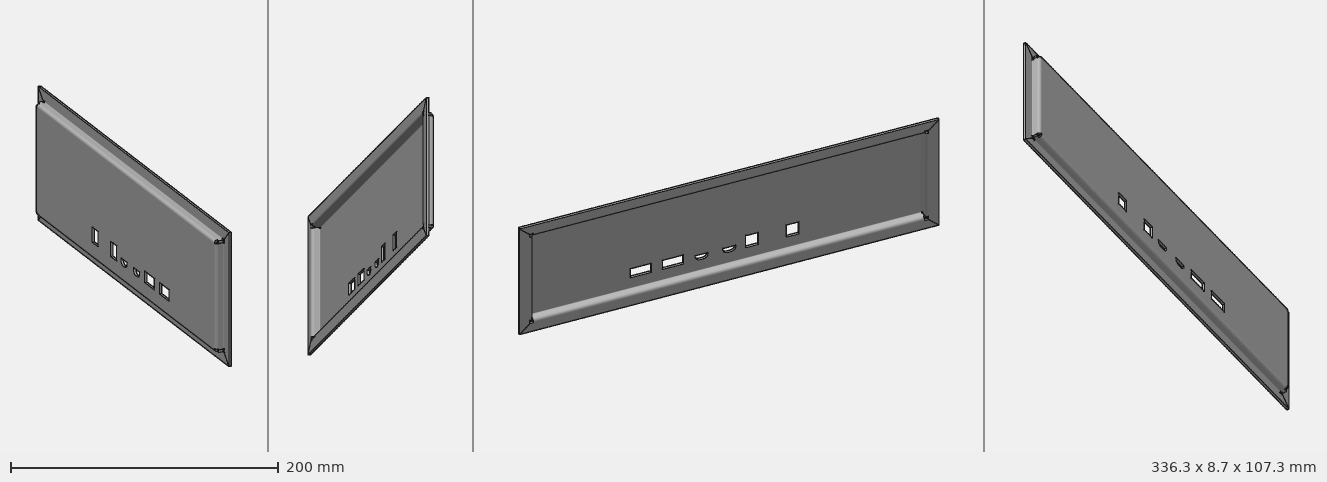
import cadquery as cq

width = 336.3
height = 107.3
depth = 8.7
sheet = 2.0
inner_radius = 0.5
flange_width = 8.5
corner_gap = 0.17

wall_inset = flange_width + inner_radius
outer_radius = inner_radius + sheet
panel_width = width - 2 * (wall_inset + outer_radius)
panel_height = height - 2 * (wall_inset + outer_radius)
wall_back = depth - outer_radius

port_floor = -32.0
square_ports = [(-53.5, 10.0, 12.0), (-21.0, 10.0, 12.0)]
wide_ports = [(42.5, 16.8, 9.0), (68.3, 16.8, 9.0)]
small_port_centres = [-2.7, 19.5]
small_port_width = 10.5
small_port_height = 5.0
small_port_radius = 4.0


def block(length, y_front, y_back, z_low, z_high):
    """Box centred on x = 0 between the given y and z limits."""
    size = (length, y_back - y_front, z_high - z_low)
    return cq.Workplane("XY").box(*size, centered=(True, False, False)).translate((0, y_front, z_low))


def bend(length, y_axis, z_axis, y_side, z_side):
    """Quarter tube along x, in the quadrant of its axis given by the two side signs."""
    tube = (
        cq.Workplane("YZ", origin=(-length / 2, y_axis, z_axis))
        .circle(outer_radius)
        .circle(inner_radius)
        .extrude(length)
    )
    y_limits = sorted((y_axis, y_axis + y_side * outer_radius))
    z_limits = sorted((z_axis, z_axis + z_side * outer_radius))
    return tube.intersect(block(length, *y_limits, *z_limits))


def mitred_flange(plate_length, z_low, z_edge):
    """Flange strip whose ends follow the 45 degree corner lines, less half the corner gap."""
    half_outer = plate_length / 2 - corner_gap / 2
    half_inner = half_outer - (z_edge - z_low)
    corners = [(-half_inner, z_low), (half_inner, z_low), (half_outer, z_edge), (-half_outer, z_edge)]
    return cq.Workplane("XZ", origin=(0, depth, 0)).polyline(corners).close().extrude(sheet)


def folded_side(panel_length, wall_length, plate_length, z_edge):
    """One side of the tray, folded from the panel edge at the top: bend, wall, bend, flange."""
    flange_start = z_edge - flange_width
    wall_outer = z_edge - wall_inset
    front_bend = bend(panel_length, outer_radius, wall_outer - outer_radius, -1, 1)
    wall = block(wall_length, outer_radius, wall_back, wall_outer - sheet, wall_outer)
    back_bend = bend(panel_length, wall_back, flange_start, 1, -1)
    flange = mitred_flange(plate_length, flange_start, z_edge)
    return front_bend.union(wall).union(back_bend).union(flange)


def port(centre_x, port_width, port_height):
    """Rectangular cutter through the panel."""
    return block(port_width, 0, sheet, port_floor, port_floor + port_height).translate((centre_x, 0, 0))


long_wall = width - 2 * wall_inset
short_wall = height - 2 * (wall_inset + sheet + corner_gap)
long_side = folded_side(panel_width, long_wall, width, height / 2)
short_side = folded_side(panel_height, short_wall, height, width / 2)

result = block(panel_width, 0, sheet, -panel_height / 2, panel_height / 2)
for side, first_angle in ((long_side, 0), (short_side, 90)):
    for angle in (first_angle, first_angle + 180):
        result = result.union(side.rotate((0, 0, 0), (0, 1, 0), angle))

for rectangle in square_ports + wide_ports:
    result = result.cut(port(*rectangle))

for centre_x in small_port_centres:
    opening = port(centre_x, small_port_width, small_port_height)
    result = result.cut(opening.edges("|Y and <Z").fillet(small_port_radius))